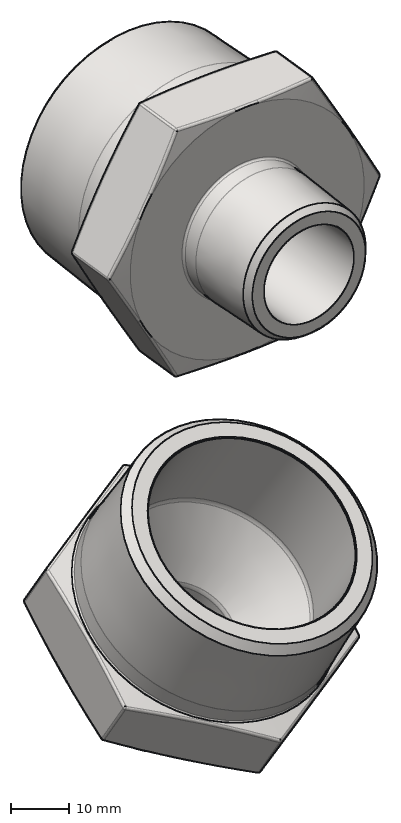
import cadquery as cq
import math


total_length = 53.0
hex_start = 22.5
hex_end = 34.9
large_taper_end = 19.0
small_taper_start = 38.4

large_radius = 48.2 / 2
small_radius = 26.75 / 2
taper_slope = 1 / 32
large_chamfer_length = 1.5
large_chamfer_depth = 1.5
small_chamfer_length = 1.3
small_chamfer_depth = 1.0
large_neck_fillet = 0.3
small_neck_fillet = 0.4

across_flats = 50.0
hex_edge_fillet = 0.5
large_side_face_radius = 24.3
small_side_face_radius = 24.7
hex_bevel_angle = math.radians(10)

large_bore_radius = 38.0 / 2
small_bore_radius = 19.0 / 2
large_bore_depth = 20.6
cone_end = 33.0
mouth_chamfer = 0.2
bore_fillet = 1.5


def revolve_profile(points):
    """Revolve a closed (x, radius) outline about the X axis."""
    outline = cq.Workplane("XY").polyline(points).close()
    return outline.revolve(360, (0, 0, 0), (1, 0, 0))


def make_hexagon():
    """Hexagon with flats at top and bottom, bevelled faces and rounded edges."""
    corner_diameter = across_flats / math.cos(math.pi / 6)
    prism = (
        cq.Workplane("YZ", origin=(hex_start, 0, 0))
        .polygon(6, corner_diameter)
        .extrude(hex_end - hex_start)
        .edges("|X")
        .fillet(hex_edge_fillet)
    )
    limit_radius = corner_diameter / 2
    bevel_slope = math.tan(hex_bevel_angle)
    bevel_limit = revolve_profile([
        (hex_start, 0),
        (hex_start, large_side_face_radius),
        (hex_start + (limit_radius - large_side_face_radius) * bevel_slope, limit_radius),
        (hex_end - (limit_radius - small_side_face_radius) * bevel_slope, limit_radius),
        (hex_end, small_side_face_radius),
        (hex_end, 0),
    ])
    hexagon = prism.intersect(bevel_limit)
    rim_edges = hexagon.edges("not(%CIRCLE or %LINE)")
    return rim_edges.fillet(hex_edge_fillet)


def make_ends():
    """Both tapered ends as one turned bar running through the hexagon."""
    large_tip = large_radius - taper_slope * (large_taper_end - large_chamfer_length)
    small_chamfer_start = total_length - small_chamfer_length
    small_tip = small_radius - taper_slope * (small_chamfer_start - small_taper_start)
    return revolve_profile([
        (0, 0),
        (0, large_tip - large_chamfer_depth),
        (large_chamfer_length, large_tip),
        (large_taper_end, large_radius),
        (hex_start, large_radius),
        (hex_end, small_radius),
        (small_taper_start, small_radius),
        (small_chamfer_start, small_tip),
        (total_length, small_tip - small_chamfer_depth),
        (total_length, 0),
    ])


def neck_fillet_ring(face_x, radius, size, outward):
    """Ring with a concave fillet between a cylinder and a hexagon face.

    outward is the X direction away from the hexagon, -1 or 1.
    """
    tip_x = face_x + outward * size
    diagonal = size * (1 - math.sqrt(0.5))
    outline = (
        cq.Workplane("XY")
        .moveTo(tip_x, radius)
        .threePointArc((face_x + outward * diagonal, radius + diagonal), (face_x, radius + size))
        .lineTo(face_x - outward * size, radius + size)
        .lineTo(face_x - outward * size, radius - size)
        .lineTo(tip_x, radius - size)
        .close()
    )
    return outline.revolve(360, (0, 0, 0), (1, 0, 0))


def make_bore():
    """Large bore, cone and small bore, with rounded transitions."""
    bore = revolve_profile([
        (0, 0),
        (0, large_bore_radius + mouth_chamfer),
        (mouth_chamfer, large_bore_radius),
        (large_bore_depth, large_bore_radius),
        (cone_end, small_bore_radius),
        (total_length, small_bore_radius),
        (total_length, 0),
    ])
    cone_edges = bore.faces("%CONE").faces(">X").edges("%CIRCLE")
    return cone_edges.fillet(bore_fillet)


result = (
    make_ends()
    .union(make_hexagon())
    .union(neck_fillet_ring(hex_start, large_radius, large_neck_fillet, -1))
    .union(neck_fillet_ring(hex_end, small_radius, small_neck_fillet, 1))
    .cut(make_bore())
)